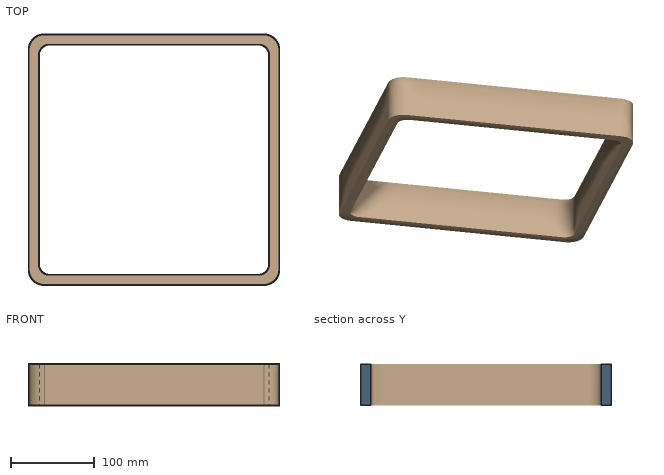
import cadquery as cq

side = 300.0
height = 50.0
wall = 12.5
outer_radius = 1.5 * wall
inner_radius = wall


def rounded_square_prism(width, corner_radius):
    """Square block standing on Z = 0 with rounded vertical edges."""
    block = cq.Workplane("XY").rect(width, width).extrude(height)
    return block.edges("|Z").fillet(corner_radius)


outer_body = rounded_square_prism(side, outer_radius)
opening = rounded_square_prism(side - 2 * wall, inner_radius)

result = outer_body.cut(opening)